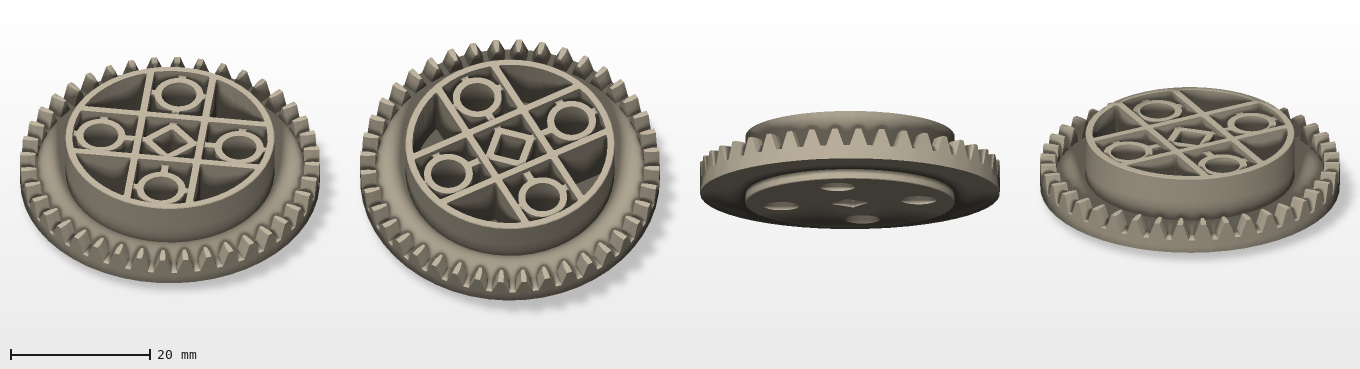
import cadquery as cq
import math

drum_radius = 15.0
drum_height = 10.0
drum_edge_chamfer = 0.1
wall = 1.0
floor_thickness = wall
cavity_radius = drum_radius - wall

rib_count = 4
rib_offset = 4.5
tab_width = wall
boss_recess = 0.8
boss_top = drum_height - boss_recess
corner_radius = 0.25
diagonal_angle = 45

hole_count = 4
hole_circle_radius = 10.0
hole_radius = 2.5
ring_radius = hole_radius + wall

square_hole = 3.8
square_hole_corner = 0.3
square_boss = square_hole + 2 * wall

tooth_count = 40
gear_radius = 21.5
tooth_inner_radius = 19.3
flange_bottom = 1.4
flange_top = 3.37
tooth_top = 5.84
gap_floor_width = 0.85
pressure_angle = 20
gap_crown_rise = 0.13
gap_crown_narrowing = 0.07
gap_overrun = 0.1


def cylinder(radius, bottom, top):
    return cq.Workplane("XY").workplane(offset=bottom).circle(radius).extrude(top - bottom)


def box(length, width, bottom, top):
    return cq.Workplane("XY").workplane(offset=bottom).rect(length, width).extrude(top - bottom)


def around(solid, count):
    """Copies of a solid spaced evenly around the Z axis."""
    return [solid.rotate((0, 0, 0), (0, 0, 1), i * 360 / count) for i in range(count)]


def turn_to_diagonal(solid):
    return solid.rotate((0, 0, 0), (0, 0, 1), diagonal_angle)


def make_drum():
    drum = cylinder(drum_radius, 0, drum_height)
    return drum.faces("<Z or >Z").edges().chamfer(drum_edge_chamfer)


def make_bays(top):
    """Spaces left between the drum wall and the crossing ribs, from the floor up."""
    bays = cylinder(cavity_radius, floor_thickness, top)
    rib = box(2 * drum_radius, wall, floor_thickness, top).translate((0, rib_offset, 0))
    for part in around(rib, rib_count):
        bays = bays.cut(part)
    return bays


def make_ring_post():
    """Ring around a round hole, tied to the drum wall and the ribs by four tabs."""
    levels = (floor_thickness, boss_top)
    post = cylinder(ring_radius, *levels)
    post = post.union(box(2 * (hole_circle_radius - rib_offset), tab_width, *levels))
    post = post.union(box(tab_width, 2 * rib_offset, *levels))
    return post.translate((hole_circle_radius, 0, 0))


def make_cavity():
    """Bays with the rings and the square boss left standing, recessed below the rim."""
    lower = make_bays(boss_top)
    for post in around(make_ring_post(), hole_count):
        lower = lower.cut(post)
    boss = box(square_boss, square_boss, floor_thickness, boss_top)
    lower = lower.cut(turn_to_diagonal(boss)).edges("|Z").fillet(corner_radius)
    upper = make_bays(drum_height).edges("|Z").fillet(corner_radius)
    upper = upper.cut(cylinder(drum_radius, floor_thickness, boss_top))
    return turn_to_diagonal(lower.union(upper))


def make_toothed_flange():
    flange = cylinder(gear_radius, flange_bottom, tooth_top)
    flange = flange.cut(cylinder(tooth_inner_radius, flange_top, tooth_top))
    for gap in around(make_tooth_gap(), tooth_count):
        flange = flange.cut(gap)
    return flange


def gap_profile(radius, floor_rise, narrowing):
    """Trapezoid across a tooth gap, standing at the given radius on the X axis."""
    top = tooth_top + gap_overrun
    floor_half = gap_floor_width / 2 - narrowing
    rise = top - flange_top - floor_rise
    top_half = floor_half + rise * math.tan(math.radians(pressure_angle))
    floor = flange_top + floor_rise
    corners = [(-floor_half, floor), (floor_half, floor), (top_half, top), (-top_half, top)]
    return cq.Wire.makePolygon([cq.Vector(radius, y, z) for y, z in corners], close=True)


def make_tooth_gap():
    """Gap that is slightly shallower and narrower halfway along the tooth."""
    inner = gap_profile(tooth_inner_radius - gap_overrun, 0, 0)
    middle = gap_profile((tooth_inner_radius + gear_radius) / 2, gap_crown_rise, gap_crown_narrowing)
    outer = gap_profile(gear_radius + gap_overrun, 0, 0)
    return cq.Workplane(cq.Solid.makeLoft([inner, middle, outer], True))


def make_holes():
    hole = cylinder(hole_radius, 0, drum_height).translate((hole_circle_radius, 0, 0))
    holes = box(square_hole, square_hole, 0, drum_height).edges("|Z").fillet(square_hole_corner)
    for round_hole in around(hole, hole_count):
        holes = holes.union(turn_to_diagonal(round_hole))
    return holes


result = make_toothed_flange().union(make_drum()).cut(make_cavity()).cut(make_holes())